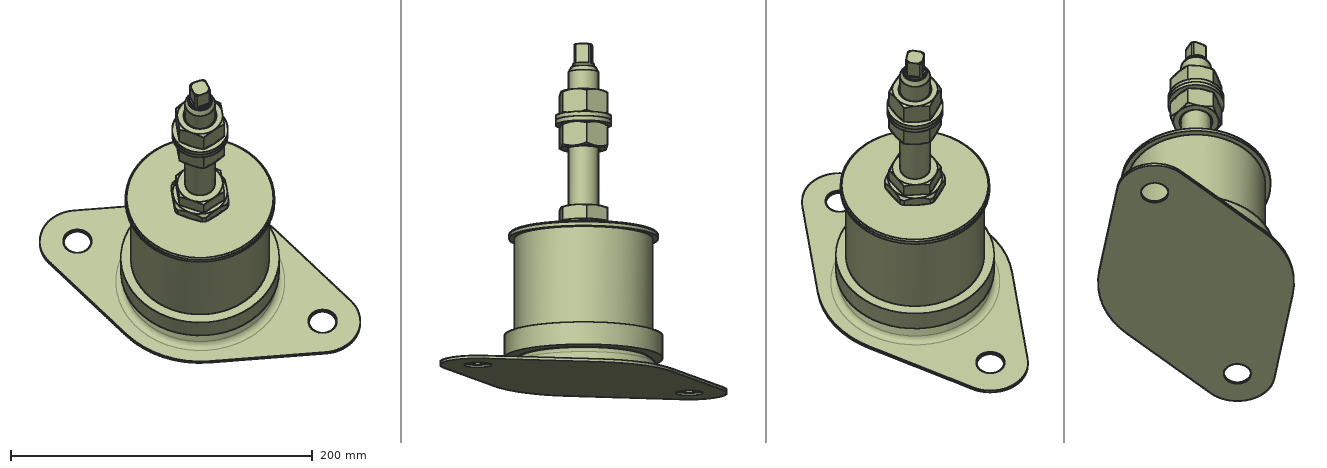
import cadquery as cq
import math

hex_half_angle = math.radians(30)

plate_thickness = 2.0
plate_mid_radius = 65.0
plate_tip_radius = 25.0
mounting_hole_diameter = 18.0
mounting_hole_offset = 87.5
mounting_hole_chamfer = 0.5

dome_top_z = 14.0
dome_foot_diameter = 112.0
dome_foot_radius = 6.0
dome_shoulder_radius = dome_foot_radius + plate_thickness
dome_wall_lean = math.radians(30)

spigot_diameter = 87.0
band_diameter = 105.0
band_height = 15.0
can_diameter = 92.0
lid_diameter = 99.0
lid_thickness = 3.5
lid_chamfer = 1.0
lid_top_z = 98.0
band_top_z = dome_top_z + band_height
lid_bottom_z = lid_top_z - lid_thickness

large_hex_across_flats = 36.0
large_hex_corner_diameter = 40.0
large_hex_height = 7.0
large_hex_top_bevel = 2.0
large_hex_bottom_bevel = 0.7
hex_across_flats = 30.0
hex_corner_diameter = hex_across_flats / math.cos(hex_half_angle)
small_hex_height = 10.0
small_hex_bevel = 0.8
large_hex_top_z = lid_top_z + large_hex_height
small_hex_top_z = large_hex_top_z + small_hex_height

rod_diameter = 20.0
rod_end_diameter = 16.0
rod_end_taper_angle = math.radians(60)
rod_end_z = 210.0
neck_diameter = 14.0
neck_height = 2.0
square_across_flats = 11.0
square_end_bevel_width = 1.0
square_end_bevel_height = 0.6
rod_top_z = 225.0

nut_height = 16.0
nut_countersink_diameter = 22.0
nut_bevel_angle = math.radians(30)
nut_bevel = (hex_corner_diameter - hex_across_flats) / 2 * math.tan(nut_bevel_angle)
lower_nut_z = 155.0
washer_diameter = 37.0
washer_thickness = 3.0
washer_count = 2
washer_stack_z = lower_nut_z + nut_height
upper_nut_z = washer_stack_z + washer_count * washer_thickness


def cylinder(diameter, z_bottom, z_top):
    return cq.Workplane("XY", origin=(0, 0, z_bottom)).circle(diameter / 2).extrude(z_top - z_bottom)


def hexagon(across_flats, z_bottom, height):
    """Hexagonal prism with two corners on the X axis."""
    corner_diameter = across_flats / math.cos(hex_half_angle)
    return cq.Workplane("XY", origin=(0, 0, z_bottom)).polygon(6, corner_diameter).extrude(height)


def bevelled_hexagon(across_flats, corner_diameter, z_bottom, height, bottom_bevel, top_bevel):
    """Hexagon trimmed to a corner diameter, with conical bevels from the circle touching its flats.

    Each bevel is given by its height; a height of zero leaves that end sharp.
    """
    face_radius = across_flats / 2
    corner_radius = corner_diameter / 2
    z_top = z_bottom + height
    outline = cq.Workplane("XZ").moveTo(0, z_bottom)
    if bottom_bevel > 0:
        outline = outline.lineTo(face_radius, z_bottom)
    blank = (
        outline.lineTo(corner_radius, z_bottom + bottom_bevel)
        .lineTo(corner_radius, z_top - top_bevel)
        .lineTo(face_radius, z_top)
        .lineTo(0, z_top)
        .close()
        .revolve(360, (0, 0, 0), (0, 1, 0))
    )
    return hexagon(across_flats, z_bottom, height).intersect(blank)


def make_plate():
    """Rhombic flange: a large middle arc joined by tangent lines to two rounded tips."""
    tangent_angle = math.asin((plate_mid_radius - plate_tip_radius) / mounting_hole_offset)
    sine, cosine = math.sin(tangent_angle), math.cos(tangent_angle)
    mid_x = plate_mid_radius * sine
    mid_y = plate_mid_radius * cosine
    tip_x = mounting_hole_offset + plate_tip_radius * sine
    tip_y = plate_tip_radius * cosine
    tip_end = mounting_hole_offset + plate_tip_radius
    plate = (
        cq.Workplane("XY")
        .moveTo(-mid_x, mid_y)
        .threePointArc((0, plate_mid_radius), (mid_x, mid_y))
        .lineTo(tip_x, tip_y)
        .threePointArc((tip_end, 0), (tip_x, -tip_y))
        .lineTo(mid_x, -mid_y)
        .threePointArc((0, -plate_mid_radius), (-mid_x, -mid_y))
        .lineTo(-tip_x, -tip_y)
        .threePointArc((-tip_end, 0), (-tip_x, tip_y))
        .close()
        .extrude(plate_thickness)
    )
    for x in (-mounting_hole_offset, mounting_hole_offset):
        plate = plate.cut(make_mounting_hole(x))
    return plate


def make_mounting_hole(x):
    """Space taken by one through hole whose upper rim is chamfered."""
    radius = mounting_hole_diameter / 2
    rim_radius = radius + mounting_hole_chamfer
    chamfer_z = plate_thickness - mounting_hole_chamfer
    bore = cq.Workplane("XY").center(x, 0).circle(radius).extrude(plate_thickness)
    cone = cq.Solid.makeCone(radius, rim_radius, mounting_hole_chamfer, cq.Vector(x, 0, chamfer_z))
    return bore.union(cq.Workplane(cone))


def arc_point(center, radius, angle):
    return center[0] + radius * math.cos(angle), center[1] + radius * math.sin(angle)


def make_dome():
    """Leaning wall that runs into the plate with a concave arc and into its top with a convex one."""
    foot_center = (dome_foot_diameter / 2, plate_thickness + dome_foot_radius)
    foot_end_angle = math.pi + dome_wall_lean
    straight_down = 1.5 * math.pi
    foot_middle = arc_point(foot_center, dome_foot_radius, (foot_end_angle + straight_down) / 2)
    wall_bottom = arc_point(foot_center, dome_foot_radius, foot_end_angle)

    shoulder_center_z = dome_top_z - dome_shoulder_radius
    wall_top_z = shoulder_center_z + dome_shoulder_radius * math.sin(dome_wall_lean)
    wall_top_x = wall_bottom[0] - (wall_top_z - wall_bottom[1]) * math.tan(dome_wall_lean)
    shoulder_center = (wall_top_x - dome_shoulder_radius * math.cos(dome_wall_lean), shoulder_center_z)
    straight_up = 0.5 * math.pi
    shoulder_middle = arc_point(shoulder_center, dome_shoulder_radius, (dome_wall_lean + straight_up) / 2)

    return (
        cq.Workplane("XZ")
        .lineTo(foot_center[0], 0)
        .lineTo(foot_center[0], plate_thickness)
        .threePointArc(foot_middle, wall_bottom)
        .lineTo(wall_top_x, wall_top_z)
        .threePointArc(shoulder_middle, (shoulder_center[0], dome_top_z))
        .lineTo(0, dome_top_z)
        .close()
        .revolve(360, (0, 0, 0), (0, 1, 0))
    )


def make_rod():
    """Rod with a tapered end, a short round neck and a square drive with rounded corners."""
    rod = cylinder(rod_diameter, small_hex_top_z, rod_end_z)
    end_taper = (rod_diameter - rod_end_diameter) / 2
    rod = rod.faces(">Z").chamfer(end_taper * math.tan(rod_end_taper_angle), end_taper)
    square_bottom_z = rod_end_z + neck_height
    neck = cylinder(neck_diameter, rod_end_z, square_bottom_z)
    bevelled_blank = cylinder(neck_diameter, square_bottom_z, rod_top_z)
    bevelled_blank = bevelled_blank.faces(">Z").chamfer(square_end_bevel_height, square_end_bevel_width)
    square = (
        cq.Workplane("XY", origin=(0, 0, square_bottom_z))
        .transformed(rotate=(0, 0, 45))
        .rect(square_across_flats, square_across_flats)
        .extrude(rod_top_z - square_bottom_z)
        .intersect(bevelled_blank)
    )
    return rod.union(neck).union(square)


def make_mount():
    """Plate, dome, can, hexagons and threaded rod as one solid on the Z axis."""
    spigot = cylinder(spigot_diameter, plate_thickness, dome_top_z)
    band = cylinder(band_diameter, dome_top_z, band_top_z)
    can = cylinder(can_diameter, band_top_z, lid_bottom_z)
    lid = cylinder(lid_diameter, lid_bottom_z, lid_top_z).faces(">Z").chamfer(lid_chamfer)
    large_hex = bevelled_hexagon(
        large_hex_across_flats, large_hex_corner_diameter, lid_top_z, large_hex_height,
        large_hex_bottom_bevel, large_hex_top_bevel,
    )
    small_hex = bevelled_hexagon(
        hex_across_flats, hex_corner_diameter, large_hex_top_z, small_hex_height, 0, small_hex_bevel,
    )
    mount = make_plate()
    for section in (make_dome(), spigot, band, can, lid, large_hex, small_hex, make_rod()):
        mount = mount.union(section)
    return mount


def make_nut(z_bottom):
    """Hexagon nut with bevelled corners and a countersink at both ends of its bore."""
    z_top = z_bottom + nut_height
    countersink_depth = (nut_countersink_diameter - rod_diameter) / 2
    nut = bevelled_hexagon(
        hex_across_flats, hex_corner_diameter, z_bottom, nut_height, nut_bevel, nut_bevel,
    )
    nut = nut.cut(cylinder(rod_diameter, z_bottom, z_top))
    rims = nut.faces("<Z or >Z").edges("%CIRCLE").edges(cq.selectors.RadiusNthSelector(0))
    return rims.chamfer(countersink_depth)


def make_washer(z_bottom):
    z_top = z_bottom + washer_thickness
    return cylinder(washer_diameter, z_bottom, z_top).cut(cylinder(rod_diameter, z_bottom, z_top))


mount = make_mount()
nuts = [make_nut(z) for z in (lower_nut_z, upper_nut_z)]
washers = [make_washer(washer_stack_z + i * washer_thickness) for i in range(washer_count)]

result = cq.Compound.makeCompound([
    mount.val(),
    *[nut.val() for nut in nuts],
    *[washer.val() for washer in washers],
])